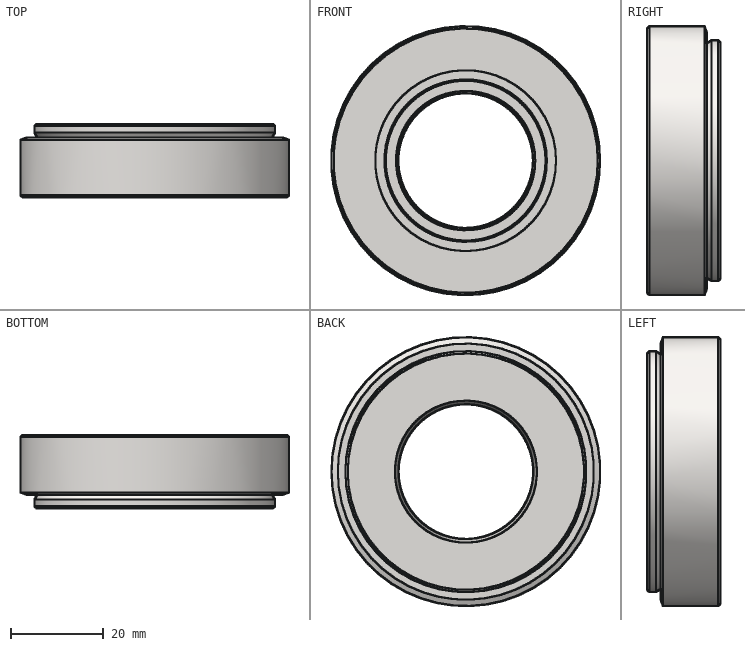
import cadquery as cq
import math

total_depth = 15.9
edge_chamfer = 0.5

housing_radius = 29.0
housing_depth = 12.95
back_chamfer_width = 1.4
front_hole_radius = 19.5
ledge_y = 4.0

neck_front_y = 1.3
neck_front_radius = 17.2
neck_radius = 17.5
bore_radius = 14.5
flare_start_y = 6.4
flare_end_radius = 15.3
flange_radius = 26.0
flange_thickness = 1.9
flange_front_y = total_depth - flange_thickness

sphere_center_y = (
    flange_radius**2 + flange_front_y**2 - neck_radius**2 - ledge_y**2
) / (2 * (flange_front_y - ledge_y))
sphere_radius = math.hypot(neck_radius, sphere_center_y - ledge_y)


def seat_point(y):
    """Return the (radius, Y) point of the sphere at the given Y."""
    return (math.sqrt(sphere_radius**2 - (y - sphere_center_y) ** 2), y)


def turn(profile):
    """Revolve a closed (radius, Y) profile about the Y axis."""
    return profile.close().revolve(360, (0, 0, 0), (0, 1, 0))


def make_housing():
    """Ring with a front counterbore, a flat ledge and a concave spherical seat."""
    seat_middle_y = (ledge_y + housing_depth) / 2
    profile = (
        cq.Workplane("XY")
        .moveTo(front_hole_radius, 0)
        .lineTo(housing_radius - edge_chamfer, 0)
        .lineTo(housing_radius, edge_chamfer)
        .lineTo(housing_radius, housing_depth - edge_chamfer)
        .lineTo(housing_radius - back_chamfer_width, housing_depth)
        .lineTo(*seat_point(housing_depth))
        .threePointArc(seat_point(seat_middle_y), (neck_radius, ledge_y))
        .lineTo(front_hole_radius, ledge_y)
    )
    return turn(profile)


def make_inner_ring():
    """Flanged ring with a convex spherical side, a tapered neck and a bore flared at the back."""
    sphere_middle_y = (ledge_y + flange_front_y) / 2
    profile = (
        cq.Workplane("XY")
        .moveTo(bore_radius + edge_chamfer, neck_front_y)
        .lineTo(neck_front_radius, neck_front_y)
        .lineTo(neck_radius, ledge_y)
        .threePointArc(seat_point(sphere_middle_y), (flange_radius, flange_front_y))
        .lineTo(flange_radius, total_depth - edge_chamfer)
        .lineTo(flange_radius - edge_chamfer, total_depth)
        .lineTo(flare_end_radius, total_depth)
        .lineTo(bore_radius, flare_start_y)
        .lineTo(bore_radius, neck_front_y + edge_chamfer)
    )
    return turn(profile)


housing = make_housing()
inner_ring = make_inner_ring()

result = cq.Compound.makeCompound([housing.val(), inner_ring.val()])